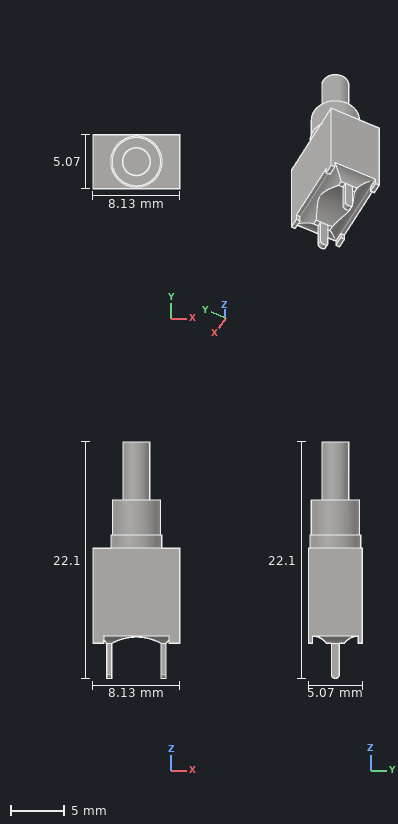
import cadquery as cq
import math

total_height = 22.15
body_length = 8.13
body_width = 5.07
body_bottom = 3.3
body_top = 12.2

collar_diameter = 4.78
collar_top = 13.45
bushing_diameter = 4.52
bushing_top = 16.72
bore_diameter = 2.64
plunger_diameter = 2.55

foot_length = 1.02
foot_width = 0.4
foot_height = 0.66
recess_ceiling = body_bottom + foot_height
recess_width = body_width - 2 * foot_width

pin_pitch = 5.07
pin_thickness = 0.5
pin_width = 0.75

seal_flat_width = 1.68
seal_arch_gap = 0.09
seal_inner_half = (pin_pitch - pin_thickness) / 2
seal_outer_half = (pin_pitch + pin_thickness) / 2


def z_cylinder(diameter, bottom, top):
    return cq.Workplane("XY").workplane(offset=bottom).circle(diameter / 2).extrude(top - bottom)


def z_block(length, width, bottom, top):
    """Box centred on the Z axis between two heights."""
    return cq.Workplane("XY").workplane(offset=bottom).rect(length, width).extrude(top - bottom)


def arc_sample(run, drop):
    """Halfway point of an arc that starts level and falls by drop over run, measured from its start."""
    radius = (run**2 + drop**2) / (2 * drop)
    half_angle = math.atan2(drop, run)
    return radius * math.sin(half_angle), radius * (1 - math.cos(half_angle))


def make_block():
    """Block standing on four corner feet left by two crossing recesses."""
    block = z_block(body_length, body_width, body_bottom, body_top)
    lengthwise = z_block(body_length, recess_width, body_bottom, recess_ceiling)
    crosswise = z_block(body_length - 2 * foot_length, body_width, body_bottom, recess_ceiling)
    return block.cut(lengthwise).cut(crosswise)


def make_seal():
    """Seal: an arched lengthwise outline crossed with a flared crosswise outline."""
    end = body_length / 2
    end_run, end_drop = arc_sample(end - seal_outer_half, foot_height)
    lengthwise = (
        cq.Workplane("XZ")
        .moveTo(-end, recess_ceiling)
        .threePointArc((-end + end_run, recess_ceiling - end_drop), (-seal_outer_half, body_bottom))
        .lineTo(-seal_inner_half, body_bottom)
        .threePointArc((0, recess_ceiling - seal_arch_gap), (seal_inner_half, body_bottom))
        .lineTo(seal_outer_half, body_bottom)
        .threePointArc((end - end_run, recess_ceiling - end_drop), (end, recess_ceiling))
        .close()
        .extrude(recess_width / 2, both=True)
    )

    side = recess_width / 2
    flat = seal_flat_width / 2
    side_run, side_drop = arc_sample(side - flat, foot_height)
    crosswise = (
        cq.Workplane("YZ")
        .moveTo(-side, recess_ceiling)
        .threePointArc((-side + side_run, recess_ceiling - side_drop), (-flat, body_bottom))
        .lineTo(flat, body_bottom)
        .threePointArc((side - side_run, recess_ceiling - side_drop), (side, recess_ceiling))
        .close()
        .extrude(body_length / 2, both=True)
    )
    return lengthwise.intersect(crosswise)


def make_pin(x):
    """Flat pin down to Z = 0 with a full round across its width at the tip."""
    half = pin_width / 2
    return (
        cq.Workplane("YZ", origin=(x, 0, 0))
        .moveTo(-half, body_bottom)
        .lineTo(-half, half)
        .threePointArc((0, 0), (half, half))
        .lineTo(half, body_bottom)
        .close()
        .extrude(pin_thickness / 2, both=True)
    )


def make_housing():
    housing = make_block().union(make_seal())
    housing = housing.union(z_cylinder(collar_diameter, body_top, collar_top))
    housing = housing.union(z_cylinder(bushing_diameter, collar_top, bushing_top))
    housing = housing.cut(z_cylinder(bore_diameter, body_top, bushing_top))
    for side in (-1, 1):
        housing = housing.union(make_pin(side * pin_pitch / 2))
    return housing


def make_plunger():
    """Round push rod standing on the floor of the bore."""
    return z_cylinder(plunger_diameter, body_top, total_height)


housing = make_housing()
plunger = make_plunger()

result = cq.Compound.makeCompound([housing.solids().val(), plunger.val()])